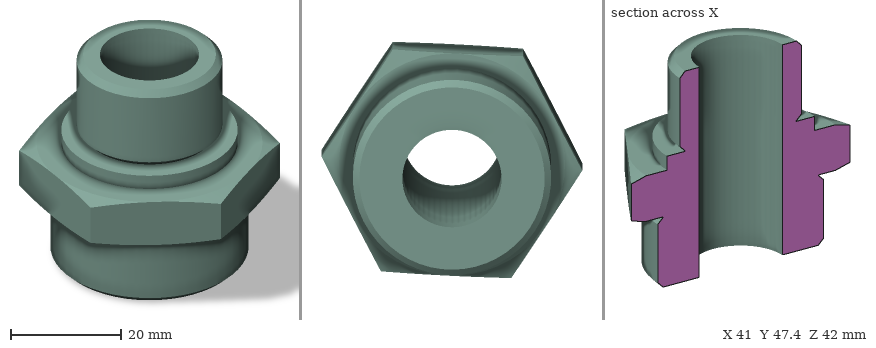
import cadquery as cq
import math

total_height = 42.0
across_corners = 47.35
across_flats = across_corners * math.cos(math.radians(30))
bore_diameter = 18.0

lower_height = 14.0
hex_height = 9.2
collar_height = 2.8
upper_height = total_height - lower_height - hex_height - collar_height

lower_diameter = 36.0
collar_diameter = 32.0
upper_diameter = 26.45

end_chamfer = 1.2
hex_chamfer_angle = 15.0


def chamfered_cylinder(diameter, height, base_z):
    """Cylinder with an equal chamfer on both end edges."""
    cylinder = cq.Workplane("XY").workplane(offset=base_z).circle(diameter / 2).extrude(height)
    return cylinder.faces("<Z or >Z").edges().chamfer(end_chamfer)


def chamfered_hexagon(base_z):
    """Hexagon with corners along Y, turned down conically at top and bottom."""
    hexagon = (
        cq.Workplane("XY")
        .workplane(offset=base_z)
        .transformed(rotate=(0, 0, 90))
        .polygon(6, across_corners)
        .extrude(hex_height)
    )
    flat_radius = across_flats / 2
    corner_radius = across_corners / 2
    corner_drop = (corner_radius - flat_radius) * math.tan(math.radians(hex_chamfer_angle))
    top_z = base_z + hex_height
    turned_envelope = (
        cq.Workplane("XZ")
        .moveTo(0, base_z)
        .lineTo(flat_radius, base_z)
        .lineTo(corner_radius, base_z + corner_drop)
        .lineTo(corner_radius, top_z - corner_drop)
        .lineTo(flat_radius, top_z)
        .lineTo(0, top_z)
        .close()
        .revolve(360, (0, 0, 0), (0, 1, 0))
    )
    return hexagon.intersect(turned_envelope)


hex_base = lower_height
collar_base = hex_base + hex_height
upper_base = collar_base + collar_height

lower_end = chamfered_cylinder(lower_diameter, lower_height, 0)
hexagon = chamfered_hexagon(hex_base)
collar = cq.Workplane("XY").workplane(offset=collar_base).circle(collar_diameter / 2).extrude(collar_height)
upper_end = chamfered_cylinder(upper_diameter, upper_height, upper_base)
bore = cq.Workplane("XY").circle(bore_diameter / 2).extrude(total_height)

result = lower_end.union(hexagon).union(collar).union(upper_end).cut(bore)